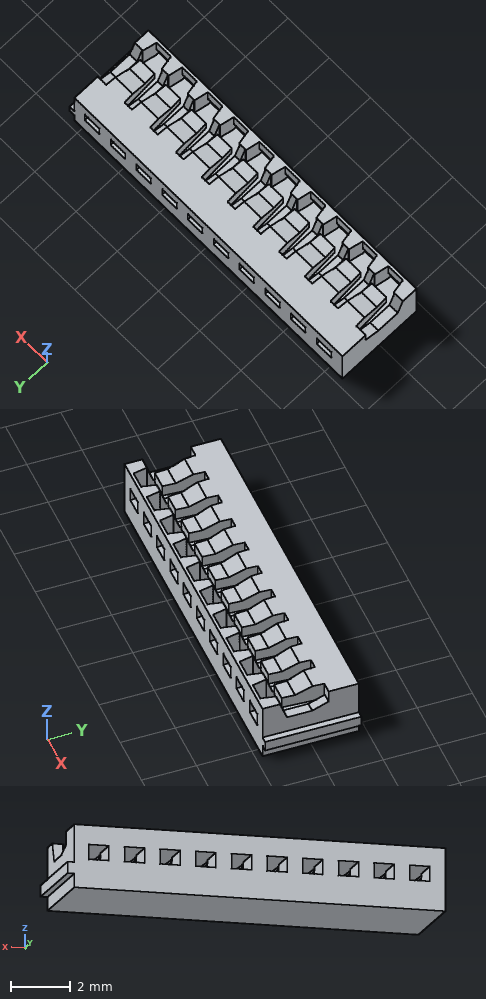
import cadquery as cq

total_length = 13.25
tab_length = 0.24
body_length = total_length - tab_length
body_depth = 3.5
body_height = 2.2

tab_bottom = 0.48
tab_height = 0.4

cell_count = 10
first_cell_x = 0.9
row_length = 11.25
pitch = row_length / (cell_count - 1)
channel_width = 1.0
pocket_back_width = 0.91
window_width = 0.7
window_bottom = 1.01
window_height = 0.52
window_top = window_bottom + window_height

lip_thickness = 0.12
ramp_top_y = 0.65
tip_y = 0.89
recess_bend_y = 1.8
recess_back_y = 2.4

recess_floor = 1.51
recess_back_z = 1.74

finger_top = 1.96
finger_bend_y = 1.36
finger_slope_top_y = 1.99
finger_tip_width = window_width
finger_root_width = 0.89

cell_centres = [first_cell_x + i * pitch for i in range(cell_count)]


def extrude_side_profile(points, length):
    """Extrude a (Y, Z) outline along X, starting at X = 0."""
    return cq.Workplane("YZ").polyline(points).close().extrude(length)


def trapezoid(x, front_y, front_width, back_y, back_width, bottom, top):
    """Upright prism, symmetric about x, whose width changes from front to back."""
    outline = [
        (x - front_width / 2, front_y),
        (x + front_width / 2, front_y),
        (x + back_width / 2, back_y),
        (x - back_width / 2, back_y),
    ]
    return cq.Workplane("XY").workplane(offset=bottom).polyline(outline).close().extrude(top - bottom)


def channel_box(x, width, front_y, back_y, bottom, top):
    """Straight-sided prism, symmetric about x."""
    return trapezoid(x, front_y, width, back_y, width, bottom, top)


def make_body():
    body = cq.Workplane("XY").box(body_length, body_depth, body_height, centered=False)
    tab = cq.Workplane("XY").box(tab_length, body_depth, tab_height, centered=False)
    return body.union(tab.translate((body_length, 0, tab_bottom)))


def make_recess():
    """Trough across the whole row, with a sloped front and a bent floor."""
    return extrude_side_profile(
        [
            (ramp_top_y, body_height),
            (tip_y, recess_floor),
            (recess_bend_y, recess_floor),
            (recess_back_y, recess_back_z),
            (recess_back_y, body_height),
        ],
        body_length,
    )


def make_cell_cutter(x):
    """Tapered front pocket, open channel and through window of one cell."""
    pocket = trapezoid(
        x, lip_thickness, window_width, ramp_top_y, pocket_back_width, window_bottom, body_height
    )
    channel = channel_box(x, channel_width, ramp_top_y, recess_back_y, window_bottom, body_height)
    window = channel_box(x, window_width, 0, body_depth, window_bottom, window_top)
    return pocket.union(channel).union(window)


def make_fingers():
    """Tapered fingers that reach forward from the back wall over the open channels."""
    profile = extrude_side_profile(
        [
            (tip_y, window_top),
            (tip_y, finger_top),
            (finger_bend_y, finger_top),
            (finger_slope_top_y, body_height),
            (recess_back_y, body_height),
            (recess_back_y, window_top),
        ],
        body_length,
    )
    outlines = cq.Workplane("XY")
    for x in cell_centres:
        outlines = outlines.add(
            trapezoid(x, tip_y, finger_tip_width, recess_back_y, finger_root_width, window_top, body_height)
        )
    return profile.intersect(outlines.combine())


result = make_body().cut(make_recess())
for centre in cell_centres:
    result = result.cut(make_cell_cutter(centre))
result = result.union(make_fingers())